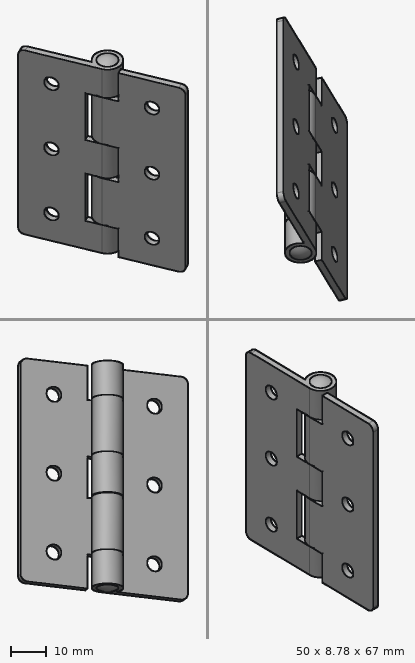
import cadquery as cq

total_height = 67.0
leaf_height = 65.0
half_width = 25.0
leaf_thickness = 2.0
corner_radius = 2.0

barrel_radius = 4.39
pin_radius = 3.1
notch_depth_from_axis = 4.95

hole_diameter = 4.35
hole_offset_x = 15.0
hole_spacing_z = 23.0

outer_knuckle_length = 10.0
middle_knuckle_top = 6.0
middle_knuckle_bottom = -5.8
knuckle_gap = 0.2

leaf_top = leaf_height / 2
inner_edge_of_outer_knuckles = leaf_top - outer_knuckle_length
dome_height = (total_height - leaf_height) / 2

left_spans = [
    (-leaf_top, -inner_edge_of_outer_knuckles),
    (middle_knuckle_bottom, middle_knuckle_top),
    (inner_edge_of_outer_knuckles, leaf_top),
]
right_spans = [
    (-inner_edge_of_outer_knuckles, middle_knuckle_bottom - knuckle_gap),
    (middle_knuckle_top, inner_edge_of_outer_knuckles),
]


def make_plate(side):
    """Flat part of a leaf, from its notch line to its rounded outer edge."""
    width = half_width - notch_depth_from_axis
    center_x = side * (half_width + notch_depth_from_axis) / 2
    center_y = -barrel_radius + leaf_thickness / 2
    outer_edges = "|Y and >X" if side > 0 else "|Y and <X"
    return (
        cq.Workplane("XY")
        .box(width, leaf_thickness, leaf_height)
        .edges(outer_edges)
        .fillet(corner_radius)
        .translate((center_x, center_y, 0))
    )


def make_knuckle(side, bottom, top):
    """Barrel section with the tangent strip that joins it to its plate."""
    length = top - bottom
    barrel = cq.Workplane("XY").workplane(offset=bottom).circle(barrel_radius).extrude(length)
    strip = cq.Workplane("XY").box(
        notch_depth_from_axis, leaf_thickness, length, centered=(True, False, False)
    ).translate((side * notch_depth_from_axis / 2, -barrel_radius, bottom))
    return barrel.union(strip)


def make_screw_holes(side):
    """Cutters for the column of three screw holes."""
    positions = [(side * hole_offset_x, row * hole_spacing_z) for row in (-1, 0, 1)]
    return (
        cq.Workplane("XZ")
        .pushPoints(positions)
        .circle(hole_diameter / 2)
        .extrude(barrel_radius)
    )


def make_leaf(side, spans):
    """Hinge leaf; side is -1 for the -X leaf and +1 for the +X leaf."""
    leaf = make_plate(side)
    for bottom, top in spans:
        leaf = leaf.union(make_knuckle(side, bottom, top))
    pin_bore = cq.Workplane("XY").circle(pin_radius).extrude(leaf_top, both=True)
    return leaf.cut(pin_bore).cut(make_screw_holes(side))


def make_pin():
    """Pin filling the bore, with a spherical dome standing out at each end."""
    half_length = total_height / 2
    sphere_radius = (pin_radius**2 + dome_height**2) / (2 * dome_height)
    mid_x = pin_radius / 2
    mid_z = half_length - sphere_radius + (sphere_radius**2 - mid_x**2) ** 0.5
    return (
        cq.Workplane("XZ")
        .moveTo(0, -half_length)
        .threePointArc((mid_x, -mid_z), (pin_radius, -leaf_top))
        .lineTo(pin_radius, leaf_top)
        .threePointArc((mid_x, mid_z), (0, half_length))
        .close()
        .revolve()
    )


left_leaf = make_leaf(-1, left_spans)
right_leaf = make_leaf(1, right_spans)
pin = make_pin()

result = cq.Compound.makeCompound([left_leaf.val(), right_leaf.val(), pin.val()])